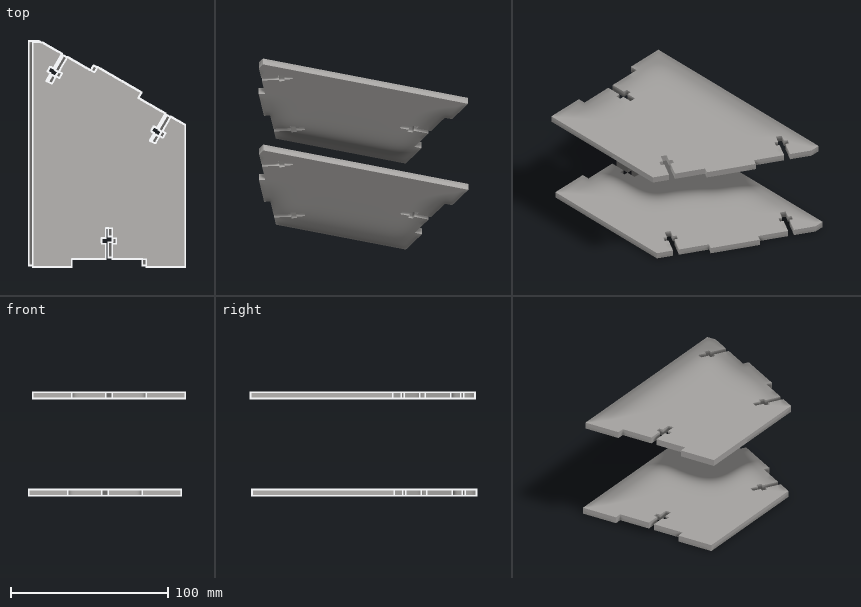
import cadquery as cq
import math

plate_width = 97.0
plate_length = 142.7
plate_thickness = 4.2
rear_flat = 6.5
slope_angle = 30.0

upper_shift_x = 2.6
upper_shift_y = -1.0
upper_shift_z = 61.8

notch_width = 47.1
notch_depth = 5.0

tab_width = 32.3
tab_height = 4.0

slot_width = 3.9
slot_depth = 19.8
nut_thickness = 3.5
front_nut_width = 9.3
front_nut_depth = 9.9
slope_nut_width = 8.6
slope_nut_depth = 10.9
mouth_overrun = 1.5

slope_slot_spacing = 75.9
tab_distance = 54.0
slope_slot_distances = [
    tab_distance - slope_slot_spacing / 2,
    tab_distance + slope_slot_spacing / 2,
]

slope_drop = (plate_width - rear_flat) * math.tan(math.radians(slope_angle))


def slope_location(distance):
    """Frame on the sloped edge: local X runs down the edge, local Y points out of the plate."""
    angle = math.radians(slope_angle)
    x = rear_flat + distance * math.cos(angle)
    y = plate_length - distance * math.sin(angle)
    return cq.Location(cq.Vector(x, y, 0), cq.Vector(0, 0, 1), -slope_angle)


def front_location():
    """Frame at the middle of the notch floor, with local Y pointing out of the plate."""
    middle = cq.Vector(plate_width / 2, notch_depth, 0)
    return cq.Location(middle, cq.Vector(0, 0, 1), 180)


def block(width, y_low, y_high):
    """Full-thickness block centred on X = 0 between two Y values."""
    height = y_high - y_low
    return (
        cq.Workplane("XY")
        .center(0, (y_low + y_high) / 2)
        .rect(width, height)
        .extrude(plate_thickness)
    )


def cross_slot(nut_width, nut_depth):
    """Slot entering from Y = 0 towards -Y, crossed by a nut pocket."""
    screw_channel = block(slot_width, -slot_depth, mouth_overrun)
    nut_pocket = block(nut_width, -nut_depth - nut_thickness, -nut_depth)
    return screw_channel.union(nut_pocket)


def placed(shape, location):
    return cq.Workplane(shape.val().located(location))


def make_plate():
    outline = [
        (0, 0),
        (plate_width, 0),
        (plate_width, plate_length - slope_drop),
        (rear_flat, plate_length),
        (0, plate_length),
    ]
    plate = cq.Workplane("XY").polyline(outline).close().extrude(plate_thickness)

    tab = block(tab_width, -tab_height, tab_height)
    plate = plate.union(placed(tab, slope_location(tab_distance)))

    notch = block(notch_width, 0, notch_depth).translate((plate_width / 2, 0, 0))
    plate = plate.cut(notch)

    front_slot = cross_slot(front_nut_width, front_nut_depth)
    plate = plate.cut(placed(front_slot, front_location()))

    slope_slot = cross_slot(slope_nut_width, slope_nut_depth)
    for distance in slope_slot_distances:
        plate = plate.cut(placed(slope_slot, slope_location(distance)))
    return plate


plate_positions = [
    (0, 0, 0),
    (upper_shift_x, upper_shift_y, upper_shift_z),
]

plates = []
for position in plate_positions:
    plates.append(make_plate().translate(position).val())

result = cq.Compound.makeCompound(plates)